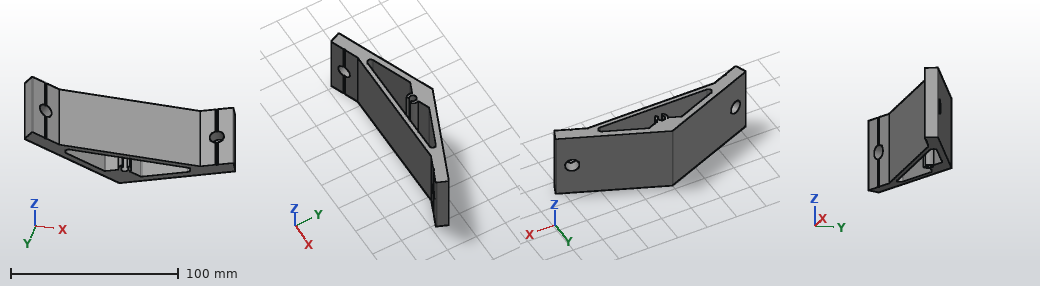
import cadquery as cq
import math

HEIGHT = 43.0
ARM_ANGLE = 22.5
ARM_LENGTH = 70.0
ARM_THICKNESS = 8.0
END_RADIUS = 0.5
APEX_RADIUS = 0.3

TIE_FACE_DROP = 26.5
TIE_THICKNESS = 3.0
ROOF_THICKNESS = 4.0
CAVITY_PEAK_X = 11.1
CAVITY_TIP_RADIUS = 2.0
CAVITY_PEAK_RADIUS = 1.0

CLIP_DROP = 13.6
CLIP_OUTER_RADIUS = 3.9
CLIP_BORE_RADIUS = 2.2
CLIP_HALF_GAP_ANGLE = 34.0

HOLE_DIAMETER = 8.6
HOLE_DISTANCE = 60.0
GROOVE_WIDTH = 1.6
GROOVE_DEPTH = 0.5

CUT_MARGIN = 1.0

SLOPE = math.tan(math.radians(ARM_ANGLE))
COS_ARM = math.cos(math.radians(ARM_ANGLE))
SIN_ARM = math.sin(math.radians(ARM_ANGLE))
SIDES = (-1, 1)


def arm_point(side, along, depth):
    """Point a distance along an arm's outer face and a depth below that face."""
    x = along * COS_ARM - depth * SIN_ARM
    y = -along * SIN_ARM - depth * COS_ARM
    return (side * x, y)


def prism(points):
    return cq.Workplane("XY").polyline(points).close().extrude(HEIGHT)


def round_edges(body, points, radius):
    """Round the vertical edges that pass through the given XY points."""
    for x, y in points:
        edge = cq.selectors.NearestToPointSelector((x, y, HEIGHT / 2))
        body = body.edges("|Z").edges(edge).fillet(radius)
    return body


def make_body():
    tie_corner_x = (TIE_FACE_DROP - ARM_THICKNESS / COS_ARM) / SLOPE
    apex = (0, 0)
    right_end = [arm_point(1, ARM_LENGTH, 0), arm_point(1, ARM_LENGTH, ARM_THICKNESS)]
    left_end = [arm_point(-1, ARM_LENGTH, ARM_THICKNESS), arm_point(-1, ARM_LENGTH, 0)]
    tie_face = [(tie_corner_x, -TIE_FACE_DROP), (-tie_corner_x, -TIE_FACE_DROP)]
    body = prism([apex] + right_end + tie_face + left_end)
    body = round_edges(body, right_end + left_end, END_RADIUS)
    return round_edges(body, [apex], APEX_RADIUS)


def make_cavity():
    """Window between the arms and the tie; its ceiling dips in the middle."""
    roof_drop = ROOF_THICKNESS / COS_ARM
    floor_y = -(TIE_FACE_DROP - TIE_THICKNESS)
    tip_x = (-floor_y - roof_drop) / SLOPE
    peak_y = -(roof_drop + CAVITY_PEAK_X * SLOPE)
    dip = (0, peak_y - CAVITY_PEAK_X * SLOPE)
    tips = [(side * tip_x, floor_y) for side in SIDES]
    peaks = [(side * CAVITY_PEAK_X, peak_y) for side in SIDES]
    cavity = prism([tips[0], peaks[0], dip, peaks[1], tips[1]])
    cavity = round_edges(cavity, tips, CAVITY_TIP_RADIUS)
    return round_edges(cavity, peaks, CAVITY_PEAK_RADIUS)


def clip_cylinder(radius):
    return cq.Workplane("XY").center(0, -CLIP_DROP).circle(radius).extrude(HEIGHT)


def make_clip_gap():
    """Wedge that opens the clip ring downwards."""
    reach = CLIP_OUTER_RADIUS + CUT_MARGIN
    half_width = reach * math.tan(math.radians(CLIP_HALF_GAP_ANGLE))
    bottom_y = -CLIP_DROP - reach
    return prism([(0, -CLIP_DROP), (half_width, bottom_y), (-half_width, bottom_y)])


def make_hole(side):
    """Screw hole square to an arm, at mid height."""
    x, y = arm_point(side, HOLE_DISTANCE, -CUT_MARGIN)
    axis = cq.Vector(-side * SIN_ARM, -COS_ARM, 0)
    start = cq.Vector(x, y, HEIGHT / 2)
    length = ARM_THICKNESS + 2 * CUT_MARGIN
    return cq.Workplane(cq.Solid.makeCylinder(HOLE_DIAMETER / 2, length, start, axis))


def make_groove(side):
    """V groove along the inner face of an arm, centred on its hole."""
    half = GROOVE_WIDTH / 2
    return prism([
        arm_point(side, HOLE_DISTANCE - half, ARM_THICKNESS),
        arm_point(side, HOLE_DISTANCE, ARM_THICKNESS - GROOVE_DEPTH),
        arm_point(side, HOLE_DISTANCE + half, ARM_THICKNESS),
    ])


result = make_body().cut(make_cavity()).union(clip_cylinder(CLIP_OUTER_RADIUS))
result = result.cut(clip_cylinder(CLIP_BORE_RADIUS)).cut(make_clip_gap())
for arm_side in SIDES:
    result = result.cut(make_groove(arm_side)).cut(make_hole(arm_side))